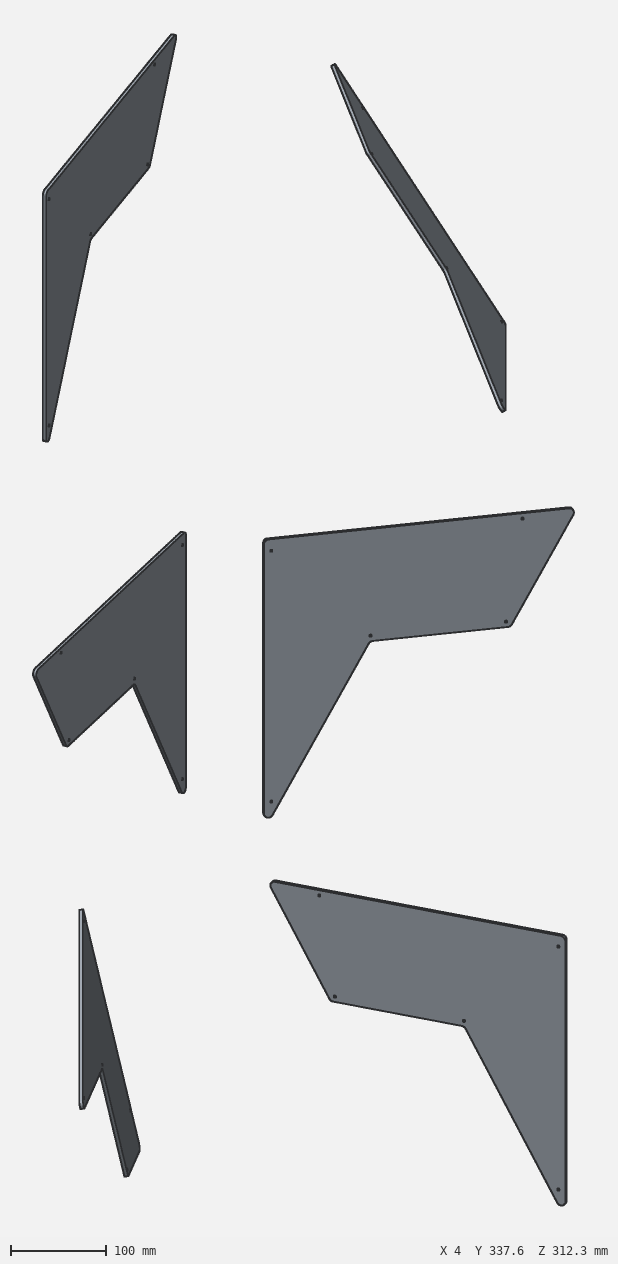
import cadquery as cq
import math

thickness = 4.0
arm_height = 126.0
leg_drop = 200.0
arm_lower_length = 153.0
slant_angle = math.radians(60)
corner_radius = 5.0

hole_diameter = 2.4
back_hole_inset = 8.0
back_upper_hole_depth = 13.0
back_lower_hole_depth = 294.5
upper_hole_inset = 6.0
lower_hole_inset = 6.2
upper_hole_y = 281.5
lower_outer_hole_y = 263.6
lower_inner_hole_y = 116.0

inner_corner_y = leg_drop / math.tan(slant_angle)
lower_outer_y = inner_corner_y + arm_lower_length
upper_outer_y = lower_outer_y + arm_height / math.tan(slant_angle)

outline = [
    (0, 0),
    (upper_outer_y, 0),
    (lower_outer_y, -arm_height),
    (inner_corner_y, -arm_height),
    (0, -arm_height - leg_drop),
]

hole_centers = [
    (back_hole_inset, -back_upper_hole_depth),
    (back_hole_inset, -back_lower_hole_depth),
    (upper_hole_y, -upper_hole_inset),
    (lower_outer_hole_y, lower_hole_inset - arm_height),
    (lower_inner_hole_y, lower_hole_inset - arm_height),
]


def make_plate():
    """Plate with every corner of its outline rounded."""
    plate = cq.Workplane("YZ").polyline(outline).close().extrude(thickness)
    return plate.edges("|X").fillet(corner_radius)


def make_holes():
    """Cylinders for the mounting holes through the plate."""
    return cq.Workplane("YZ").pushPoints(hole_centers).circle(hole_diameter / 2).extrude(thickness)


result = make_plate().cut(make_holes())